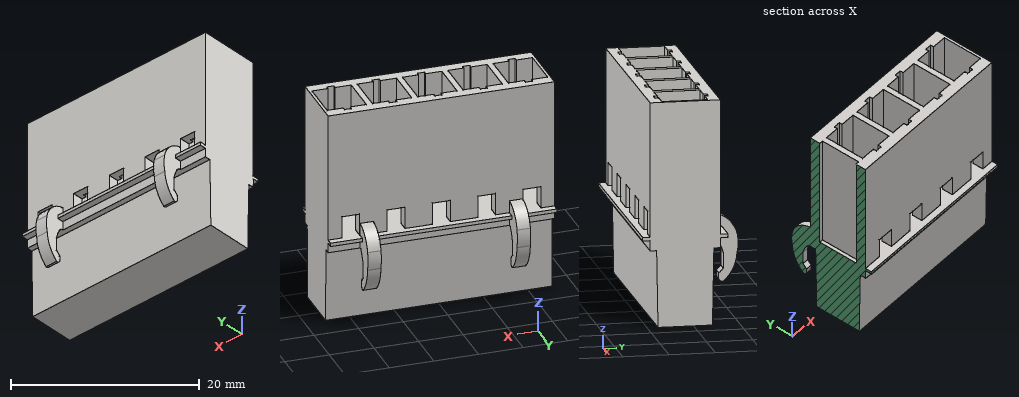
import cadquery as cq

pole_count = 5
pitch = 5.08
total_width = pole_count * pitch
total_height = 24.55

housing_depth = 7.6
back_y = housing_depth / 2
shoulder_z = 8.4

plug_depth_top = 6.2
plug_depth_bottom = 5.9

flange_reach = 0.8
flange_thickness = 0.4
flange_top_z = 9.9

pocket_width = 4.4
pocket_depth_y = 4.95
pocket_floor_z = flange_top_z
key_width = 0.8
key_depth = 0.4

window_width = 2.0
window_height = 2.5

hook_width = 1.5
hook_spacing = 16.75
hook_embed = 0.5
hook_root_top_z = 11.3
hook_crest = (1.55, 10.6)
hook_outer_top = (2.5, 9.0)
hook_outermost = (2.6, 8.0)
hook_outer_bottom = (2.47, 6.9)
hook_outer_curl = (2.0, 5.15)
hook_tip_round = (0.62, 3.95)
hook_tip_z = 3.85
hook_throat_reach = 0.98
hook_throat_top_z = 6.95
hook_throat_bottom_z = 5.3
hook_barb_reach = 0.48
hook_barb_top_z = 4.8
hook_barb_bottom_z = 4.4
hook_throat_curve = (0.7, 7.75)
hook_root_reach = 0.25


def centred_positions(count, spacing):
    """Evenly spaced X positions, centred on zero."""
    return [(i - (count - 1) / 2) * spacing for i in range(count)]


def make_body():
    """Housing and plug as one stepped profile, extruded over the full width."""
    profile = (
        cq.Workplane("YZ")
        .moveTo(-back_y, total_height)
        .lineTo(back_y, total_height)
        .lineTo(back_y, shoulder_z)
        .lineTo(plug_depth_top / 2, shoulder_z)
        .lineTo(plug_depth_bottom / 2, 0)
        .lineTo(-plug_depth_bottom / 2, 0)
        .lineTo(-plug_depth_top / 2, shoulder_z)
        .lineTo(-back_y, shoulder_z)
        .close()
    )
    return profile.extrude(total_width / 2, both=True)


def make_flanges():
    """One thin plate that stands out of the front and the back."""
    base = cq.Workplane("XY").workplane(offset=flange_top_z - flange_thickness)
    return base.rect(total_width, housing_depth + 2 * flange_reach).extrude(flange_thickness)


def make_hook():
    """Curled latch hook hanging from the back wall, centred on X = 0."""
    profile = (
        cq.Workplane("YZ", origin=(0, back_y, 0))
        .moveTo(-hook_embed, hook_root_top_z)
        .lineTo(0, hook_root_top_z)
        .threePointArc(hook_crest, hook_outer_top)
        .threePointArc(hook_outermost, hook_outer_bottom)
        .threePointArc(hook_outer_curl, (hook_throat_reach, hook_tip_z))
        .threePointArc(hook_tip_round, (hook_barb_reach, hook_barb_bottom_z))
        .lineTo(hook_barb_reach, hook_barb_top_z)
        .lineTo(hook_throat_reach, hook_throat_bottom_z)
        .lineTo(hook_throat_reach, hook_throat_top_z)
        .threePointArc(hook_throat_curve, (hook_root_reach, shoulder_z))
        .lineTo(-hook_embed, shoulder_z)
        .close()
    )
    return profile.extrude(hook_width / 2, both=True)


def make_pole_cutter():
    """Pocket, its two key grooves and the window pair of one pole."""
    height = total_height - pocket_floor_z
    floor = cq.Workplane("XY").workplane(offset=pocket_floor_z)
    pocket = floor.rect(pocket_width, pocket_depth_y).extrude(height)
    keys = floor.rect(key_width, pocket_depth_y + 2 * key_depth).extrude(height)
    windows = floor.rect(window_width, housing_depth).extrude(window_height)
    return pocket.union(keys).union(windows)


result = make_body().union(make_flanges())

for hook_x in centred_positions(2, hook_spacing):
    result = result.union(make_hook().translate((hook_x, 0, 0)))

for pole_x in centred_positions(pole_count, pitch):
    result = result.cut(make_pole_cutter().translate((pole_x, 0, 0)))